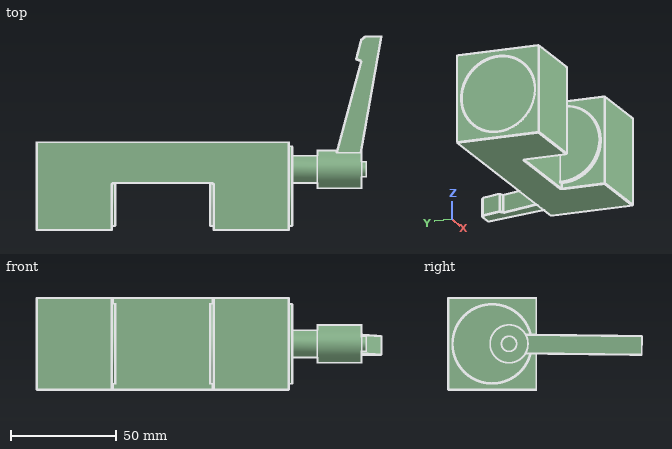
import cadquery as cq

leg_length = 36.0
gap_length = 47.9
block_length = 2 * leg_length + gap_length
block_depth = 42.0
block_height = 44.0
gap_depth = 22.3
block_chamfer = 0.41

bushing_diameter = 38.0
bushing_chamfer = 0.41
bushing_protrusion = 1.6
bushing_recess = 0.5
bushing_y = block_depth / 2
left_bushing_span = (bushing_recess, leg_length + bushing_protrusion)
right_bushing_span = (
    block_length - leg_length - bushing_protrusion,
    block_length + bushing_protrusion,
)

handle_y = 29.0
handle_tilt = -0.7
stem_diameter = 13.1
stem_start_x = block_length + bushing_protrusion
hub_diameter = 18.0
hub_start_x = 133.5
hub_end_x = 154.5
stud_diameter = 7.2
stud_end_x = 156.7

lever_thickness = 9.2
lever_chamfer = 0.3
lever_left_foot_x = 140.3
lever_right_foot_x = 152.8
lever_tip_left_x = 156.0
lever_tip_right_x = 164.0
lever_tip_y = 92.1
tip_corner_x = 154.1
tip_corner_y = 90.5
grip_step_x = 151.6
grip_step_y = 81.1
grip_notch_x = 154.1
grip_notch_y = 80.3


def x_cylinder(diameter, start_x, end_x, y):
    """Cylinder along X at mid height."""
    return cq.Workplane("YZ", origin=(start_x, y, 0)).circle(diameter / 2).extrude(end_x - start_x)


def make_bushing(start_x, end_x):
    """Plain plug with chamfered rims."""
    bushing = x_cylinder(bushing_diameter, start_x, end_x, bushing_y)
    return bushing.faces("<X or >X").chamfer(bushing_chamfer)


def make_bore(start_x, end_x):
    """Space taken by a bushing, with square rims."""
    return x_cylinder(bushing_diameter, start_x, end_x, bushing_y)


def make_block():
    """U-shaped block with a flat back and all other edges chamfered, bored for the bushings."""
    bar = cq.Workplane("XY").box(block_length, block_depth, block_height, centered=(False, False, True))
    gap = cq.Workplane("XY", origin=(leg_length, 0, 0)).box(
        gap_length, gap_depth, block_height, centered=(False, False, True)
    )
    block = bar.cut(gap).edges("not(>Y)").chamfer(block_chamfer)
    left_bore = make_bore(0, left_bushing_span[1])
    right_bore = make_bore(*right_bushing_span)
    return block.cut(left_bore).cut(right_bore)


def make_lever():
    """Flat tapered lever with a stepped grip at its free end; its foot is buried in the hub."""
    lever = (
        cq.Workplane("XY", origin=(0, 0, -lever_thickness / 2))
        .moveTo(lever_left_foot_x, handle_y)
        .lineTo(lever_right_foot_x, handle_y)
        .lineTo(lever_tip_right_x, lever_tip_y)
        .lineTo(lever_tip_left_x, lever_tip_y)
        .lineTo(tip_corner_x, tip_corner_y)
        .lineTo(grip_step_x, grip_step_y)
        .lineTo(grip_notch_x, grip_notch_y)
        .close()
        .extrude(lever_thickness)
    )
    for step_corner in ((grip_step_x, grip_step_y, 0), (grip_notch_x, grip_notch_y, 0)):
        step_edge = cq.NearestToPointSelector(step_corner)
        lever = lever.edges("|Z").edges(step_edge).chamfer(lever_chamfer)
    return lever.faces("<Z or >Z").chamfer(lever_chamfer)


def make_handle():
    """Stem, hub, end stud and lever in one piece, turned slightly about the stem axis."""
    stem = x_cylinder(stem_diameter, stem_start_x, hub_start_x, handle_y)
    hub = x_cylinder(hub_diameter, hub_start_x, hub_end_x, handle_y)
    stud = x_cylinder(stud_diameter, hub_end_x, stud_end_x, handle_y)
    handle = stem.union(hub).union(stud).union(make_lever())
    return handle.rotate((0, handle_y, 0), (1, handle_y, 0), handle_tilt)


block = make_block()
bushings = [make_bushing(*span) for span in (left_bushing_span, right_bushing_span)]
handle = make_handle()

result = cq.Compound.makeCompound(
    [block.val(), *[bushing.val() for bushing in bushings], handle.val()]
)